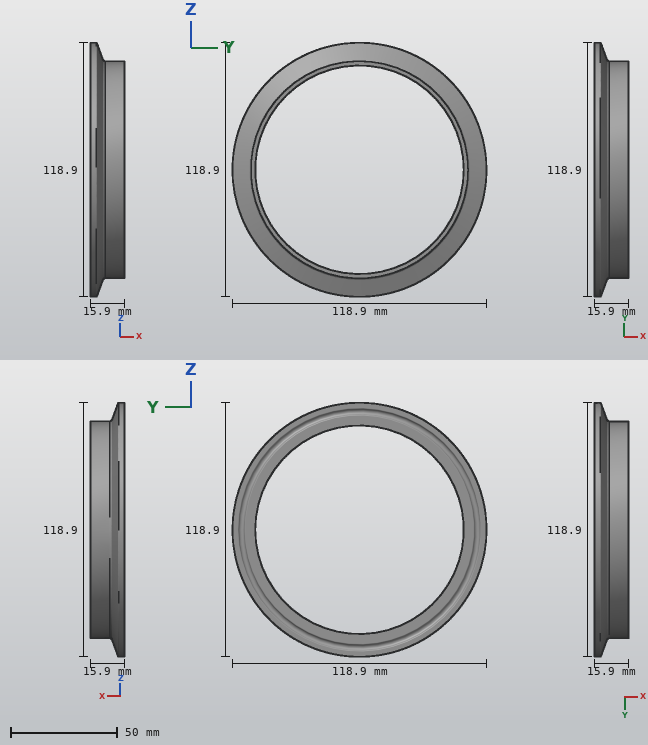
import cadquery as cq
import math


length = 15.9
flange_radius = 118.9 / 2
tube_radius = 101.5 / 2
bore_radius = 97.4 / 2

rim_width = 3.0
rim_round = 0.4
back_angle = 20
neck_round = 1.2
edge_break = 0.2

groove_radius = 55.2
groove_arc_radius = 1.4
groove_depth = 1.2
groove_lip_round = 0.6


def circle_at(x, radius):
    """Select the circular edge of the given radius that lies in the plane at x."""
    margin = 0.06
    return cq.selectors.BoxSelector(
        (x - margin, -radius - margin, -radius - margin),
        (x + margin, radius + margin, radius + margin),
        boundingbox=True,
    ) - cq.selectors.BoxSelector(
        (x - margin, -radius + margin, -radius + margin),
        (x + margin, radius - margin, radius - margin),
        boundingbox=True,
    )


def make_blank():
    """Turn the plain flange, sloped back, neck and tube."""
    back_length = (flange_radius - tube_radius) * math.tan(math.radians(back_angle))
    neck_x = rim_width + back_length
    section = (
        cq.Workplane("XY")
        .moveTo(0, bore_radius)
        .lineTo(0, flange_radius)
        .lineTo(rim_width, flange_radius)
        .lineTo(neck_x, tube_radius)
        .lineTo(length, tube_radius)
        .lineTo(length, bore_radius)
        .close()
    )
    blank = section.revolve(360, (0, 0, 0), (1, 0, 0))
    blank = blank.edges(circle_at(neck_x, tube_radius)).fillet(neck_round)
    for rim_x in (0, rim_width):
        blank = blank.edges(circle_at(rim_x, flange_radius)).fillet(rim_round)
    blank = blank.edges(circle_at(0, bore_radius)).fillet(edge_break)
    return blank.edges(circle_at(length, tube_radius)).fillet(edge_break)


def make_groove():
    """Ring that cuts the gasket groove: a round bottom running tangent into two rounded lips."""
    bottom_x = groove_depth - groove_arc_radius
    lip_x = groove_lip_round
    centre_gap = groove_arc_radius + groove_lip_round
    lip_offset = math.sqrt(centre_gap**2 - (lip_x - bottom_x) ** 2)
    touch_share = groove_arc_radius / centre_gap
    touch_x = bottom_x + (lip_x - bottom_x) * touch_share
    touch_offset = lip_offset * touch_share
    touch_angle = math.atan2(lip_x - bottom_x, lip_offset)
    middle_angle = (math.pi / 2 + touch_angle) / 2
    middle_x = lip_x - groove_lip_round * math.sin(middle_angle)
    middle_offset = lip_offset - groove_lip_round * math.cos(middle_angle)

    section = (
        cq.Workplane("XY")
        .moveTo(0, groove_radius - lip_offset)
        .threePointArc((middle_x, groove_radius - middle_offset), (touch_x, groove_radius - touch_offset))
        .threePointArc((groove_depth, groove_radius), (touch_x, groove_radius + touch_offset))
        .threePointArc((middle_x, groove_radius + middle_offset), (0, groove_radius + lip_offset))
        .close()
    )
    return section.revolve(360, (0, 0, 0), (1, 0, 0))


result = make_blank().cut(make_groove())